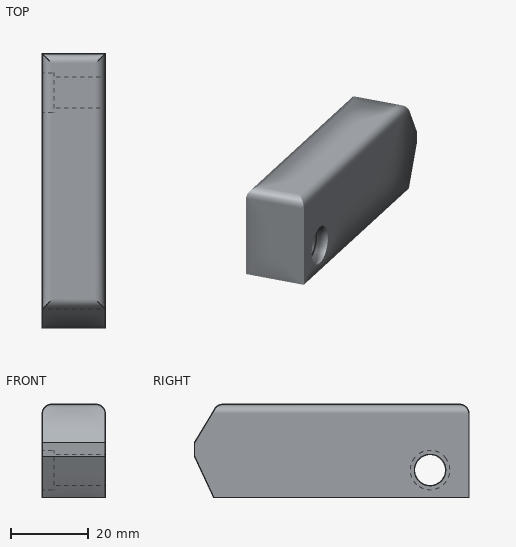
import cadquery as cq

width = 16.2
length = 70.5
height = 24.0

nose_flat_bottom = 10.6
nose_flat_top = 14.1
lower_bevel_run = 4.9
upper_bevel_run = 5.9

edge_radius = 2.5

hole_diameter = 8.0
counterbore_diameter = 10.15
counterbore_depth = 3.0
hole_from_back = 10.0
hole_height = 7.05

front = -length / 2
back = length / 2
left = -width / 2


def make_body():
    """Side profile extruded across the width, with a rounded top rim."""
    profile = (
        cq.Workplane("YZ", origin=(left, 0, 0))
        .moveTo(back, 0)
        .lineTo(back, height)
        .lineTo(front + upper_bevel_run, height)
        .lineTo(front, nose_flat_top)
        .lineTo(front, nose_flat_bottom)
        .lineTo(front + lower_bevel_run, 0)
        .close()
    )
    return profile.extrude(width).faces(">Z").edges().fillet(edge_radius)


def cross_cylinder(diameter, depth):
    """Cylinder on the hole axis, reaching inward from the -X side."""
    return (
        cq.Workplane("YZ", origin=(left, back - hole_from_back, hole_height))
        .circle(diameter / 2)
        .extrude(depth)
    )


through_hole = cross_cylinder(hole_diameter, width)
counterbore = cross_cylinder(counterbore_diameter, counterbore_depth)
result = make_body().cut(through_hole).cut(counterbore)